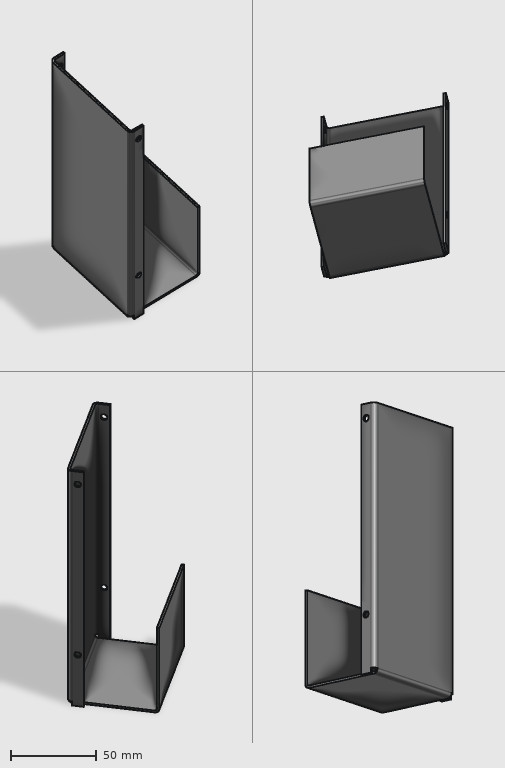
import cadquery as cq

width = 75.0
depth = 55.0
height = 165.0

thickness = 1.5
bend_inner = 1.5
bend_outer = bend_inner + thickness

flange_depth = 10.0
lip_height = 60.0

hole_diameter = 4.0
hole_y = 6.5
lower_hole_z = 36.1
hole_spacing = 120.0

hook_width = width - 2 * bend_outer


def bent_sheet(plane, base, first_leg, second_leg, length):
    """Sheet bent to a U, with the base on the plane's first axis, extruded along its normal."""
    inner_base = base - thickness
    return (
        cq.Workplane(plane)
        .moveTo(0, first_leg)
        .lineTo(0, bend_outer)
        .radiusArc((bend_outer, 0), -bend_outer)
        .lineTo(base - bend_outer, 0)
        .radiusArc((base, bend_outer), -bend_outer)
        .lineTo(base, second_leg)
        .lineTo(inner_base, second_leg)
        .lineTo(inner_base, bend_outer)
        .radiusArc((base - bend_outer, thickness), bend_inner)
        .lineTo(bend_outer, thickness)
        .radiusArc((thickness, bend_outer), bend_inner)
        .lineTo(thickness, first_leg)
        .close()
        .extrude(length)
    )


def back_channel():
    """Back plate with two side flanges, relieved at the bottom for the tray bend."""
    channel = bent_sheet("XY", width, flange_depth, flange_depth, height)
    relief = cq.Workplane("XY").box(width, bend_outer, bend_outer, centered=False)
    return channel.cut(relief)


def hook():
    """Back plate, tray floor and lip, between the flange bends."""
    channel = bent_sheet("YZ", depth, height, lip_height, hook_width)
    return channel.translate((bend_outer, 0, 0))


def flange_holes():
    """Two cross holes, each passing through both flanges."""
    return (
        cq.Workplane("YZ")
        .pushPoints([(hole_y, lower_hole_z), (hole_y, lower_hole_z + hole_spacing)])
        .circle(hole_diameter / 2)
        .extrude(width)
    )


result = back_channel().union(hook()).cut(flange_holes())